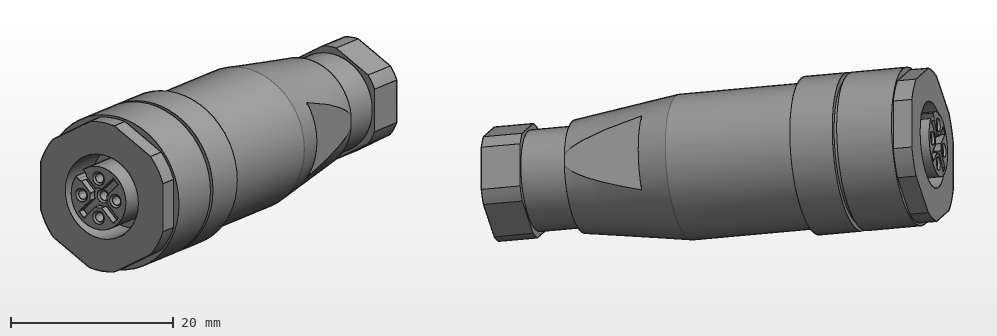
import cadquery as cq
import math

LENGTH = 56.7

HEX_FRONT = 0.75
COLLAR_FRONT = 3.1
GROOVE_FRONT = 10.15
GROOVE_BACK = 10.7
COLLAR_BACK = 16.15
CONE_FRONT = 32.4
FLAT_FRONT = 36.0
CONE_BACK = 45.9
CLAMP_NUT_FRONT = 51.7

BODY_DIAMETER = 18.05
COLLAR_DIAMETER = 19.6
CONE_END_DIAMETER = 14.05
NECK_DIAMETER = 12.6

COUPLING_HEX_FLATS = 18.05
COUPLING_HEX_CORNERS = 19.05
CLAMP_NUT_FLATS = 13.25
CLAMP_NUT_CORNERS = 14.35

SIDE_FLATS = 14.0

BORE_DIAMETER = 10.8
BORE_FLOOR = 6.8
INSERT_DIAMETER = 8.05
KEYWAY_WIDTH = 1.4
KEYWAY_RADIUS = 3.5
KEYWAY_ANGLE = 135.0

CROSS_WIDTH = 1.0
CROSS_LENGTH = 7.1
CROSS_CENTRE_DIAMETER = 2.55
CROSS_DEPTH = 1.0

CONTACT_RADIUS = 2.5
CONTACT_BORE_DIAMETER = 1.2
COUNTERSINK_DIAMETER = 1.7
COUNTERSINK_DEPTH = (COUNTERSINK_DIAMETER - CONTACT_BORE_DIAMETER) / 2
CONTACT_BORE_DEPTH = 3.4


def plane_at(y):
    """Workplane at station y, facing the cable end, with local x = X and local y = -Z."""
    return cq.Workplane("XZ", origin=(0, y, 0)).transformed(rotate=(180, 0, 0))


def cylinder(diameter, start, end, x=0.0, z=0.0):
    return plane_at(start).center(x, -z).circle(diameter / 2).extrude(end - start)


def rounded_hexagon(flats, corners, start, end):
    """Hexagon with flats facing +X and -X, its corners turned down to a diameter."""
    sharp_corners = flats / math.cos(math.pi / 6)
    hexagon = plane_at(start).transformed(rotate=(0, 0, 30)).polygon(6, sharp_corners).extrude(end - start)
    return hexagon.intersect(cylinder(corners, start, end))


def turned_body():
    profile = [
        (0, COLLAR_FRONT),
        (COLLAR_DIAMETER / 2, COLLAR_FRONT),
        (COLLAR_DIAMETER / 2, GROOVE_FRONT),
        (BODY_DIAMETER / 2, GROOVE_FRONT),
        (BODY_DIAMETER / 2, GROOVE_BACK),
        (COLLAR_DIAMETER / 2, GROOVE_BACK),
        (COLLAR_DIAMETER / 2, COLLAR_BACK),
        (BODY_DIAMETER / 2, COLLAR_BACK),
        (BODY_DIAMETER / 2, CONE_FRONT),
        (CONE_END_DIAMETER / 2, CONE_BACK),
        (NECK_DIAMETER / 2, CONE_BACK),
        (NECK_DIAMETER / 2, CLAMP_NUT_FRONT),
        (0, CLAMP_NUT_FRONT),
    ]
    return cq.Workplane("XY").polyline(profile).close().revolve(360, (0, 0), (0, 1))


def side_flat_cutter(side):
    """Block that shaves the cone flat; side is +1 for +X and -1 for -X."""
    thickness = BODY_DIAMETER
    length = CONE_BACK - FLAT_FRONT
    centre_x = side * (SIDE_FLATS + thickness) / 2
    block = cq.Workplane("XY").box(thickness, length, COLLAR_DIAMETER)
    return block.translate((centre_x, FLAT_FRONT + length / 2, 0))


def keyway():
    """Round-ended slot along the insert, open to its rim."""
    slot = plane_at(0).center(KEYWAY_RADIUS, 0).circle(KEYWAY_WIDTH / 2).extrude(BORE_FLOOR)
    mouth = plane_at(0).center(KEYWAY_RADIUS + KEYWAY_WIDTH / 2, 0).rect(KEYWAY_WIDTH, KEYWAY_WIDTH)
    slot = slot.union(mouth.extrude(BORE_FLOOR))
    return slot.rotate((0, 0, 0), (0, 1, 0), -KEYWAY_ANGLE)


def cross_recess():
    recess = cylinder(CROSS_CENTRE_DIAMETER, 0, CROSS_DEPTH)
    for angle in (45, 135):
        arm = plane_at(0).transformed(rotate=(0, 0, angle)).rect(CROSS_LENGTH, CROSS_WIDTH)
        recess = recess.union(arm.extrude(CROSS_DEPTH))
    return recess


def contact_hole(x, z, mouth):
    """Hole with a 45 degree lead-in whose mouth lies at station `mouth`."""
    lead_in = plane_at(mouth).center(x, -z).circle(COUNTERSINK_DIAMETER / 2)
    lead_in = lead_in.workplane(offset=COUNTERSINK_DEPTH).circle(CONTACT_BORE_DIAMETER / 2).loft()
    return lead_in.union(cylinder(CONTACT_BORE_DIAMETER, mouth, CONTACT_BORE_DEPTH, x, z))


def socket_insert():
    insert = cylinder(INSERT_DIAMETER, 0, BORE_FLOOR).cut(keyway()).cut(cross_recess())
    insert = insert.cut(contact_hole(0, 0, CROSS_DEPTH))
    for angle in (0, 90, 180, 270):
        x = CONTACT_RADIUS * math.cos(math.radians(angle))
        z = CONTACT_RADIUS * math.sin(math.radians(angle))
        insert = insert.cut(contact_hole(x, z, 0))
    return insert


result = turned_body()
for side in (-1, 1):
    result = result.cut(side_flat_cutter(side))
result = result.union(rounded_hexagon(COUPLING_HEX_FLATS, COUPLING_HEX_CORNERS, HEX_FRONT, COLLAR_FRONT))
result = result.union(rounded_hexagon(CLAMP_NUT_FLATS, CLAMP_NUT_CORNERS, CLAMP_NUT_FRONT, LENGTH))
result = result.cut(cylinder(BORE_DIAMETER, HEX_FRONT, BORE_FLOOR))
result = result.union(socket_insert())